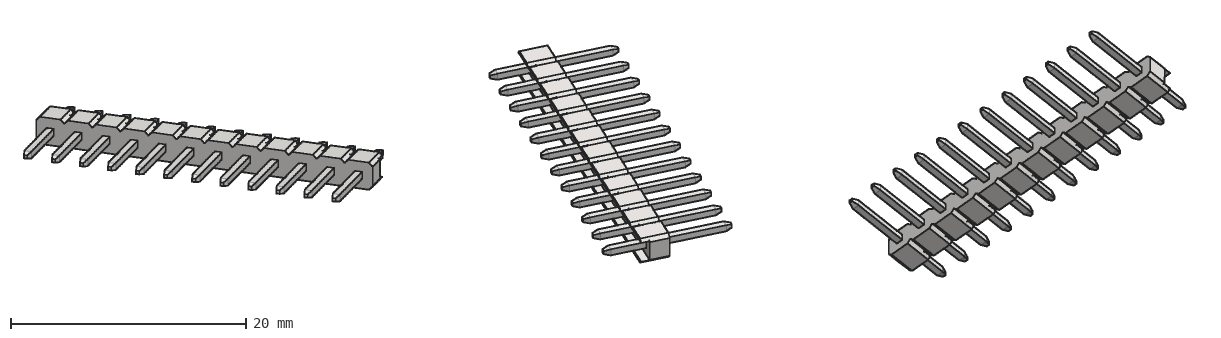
import cadquery as cq

pin_count = 12
row_length = 30.48
pitch = row_length / pin_count
overall_depth = 11.6

housing_height = 2.5
housing_depth = 2.55
corner_cut = 0.35
back_slot_depth = 0.75
lip_thickness = 0.27

pin_width = 0.65
tip_length = 0.58
tip_width = pin_width / 2
front_pin_length = 6.05

front_tip_y = -overall_depth / 2
back_tip_y = overall_depth / 2
housing_front_y = front_tip_y + front_pin_length
housing_back_y = housing_front_y + housing_depth


def segment_center(index):
    """X position of one pin and its housing segment."""
    return (index + 0.5) * pitch - row_length / 2


def make_segment(center_x):
    """Housing block around one pin; neighbouring bevels meet as V notches."""
    return (
        cq.Workplane("XY")
        .box(pitch, housing_depth, housing_height, centered=(True, False, True))
        .edges("|Y")
        .chamfer(corner_cut)
        .translate((center_x, housing_front_y, 0))
    )


def make_back_slot():
    """Channel along the whole back face, open at both ends."""
    return (
        cq.Workplane("XY")
        .box(
            row_length,
            back_slot_depth,
            housing_height - 2 * lip_thickness,
            centered=(True, False, True),
        )
        .translate((0, housing_back_y - back_slot_depth, 0))
    )


def make_tip(center_x, base_y, end_y):
    """Square taper from the full pin section down to the small end face."""
    base_plane = cq.Plane(
        origin=(center_x, base_y, 0),
        xDir=(1, 0, 0),
        normal=(0, end_y - base_y, 0),
    )
    return (
        cq.Workplane(base_plane)
        .rect(pin_width, pin_width)
        .workplane(offset=abs(end_y - base_y))
        .rect(tip_width, tip_width)
        .loft(ruled=True)
    )


def make_pin(center_x):
    """Square pin with a tapered tip at each end."""
    shank = (
        cq.Workplane("XY")
        .box(pin_width, overall_depth - 2 * tip_length, pin_width)
        .translate((center_x, 0, 0))
    )
    front_tip = make_tip(center_x, front_tip_y + tip_length, front_tip_y)
    back_tip = make_tip(center_x, back_tip_y - tip_length, back_tip_y)
    return shank.union(front_tip).union(back_tip)


centers = [segment_center(index) for index in range(pin_count)]

housing = make_segment(centers[0])
for center in centers[1:]:
    housing = housing.union(make_segment(center))
housing = housing.cut(make_back_slot())

result = housing
for center in centers:
    result = result.union(make_pin(center))